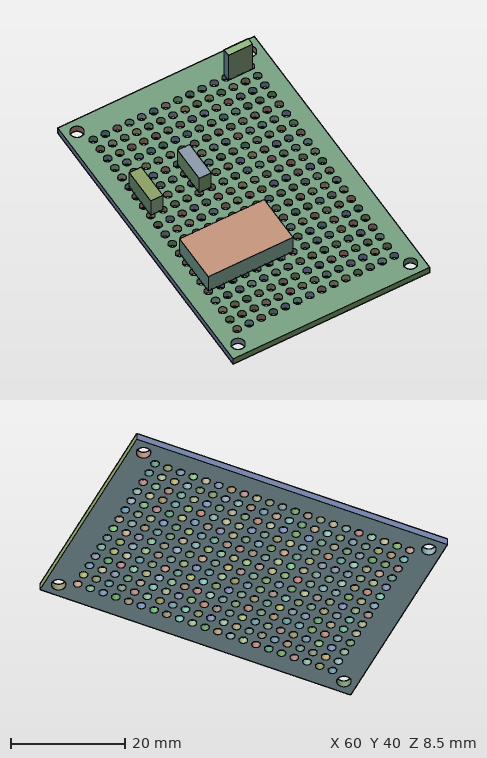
import cadquery as cq

board_length = 60.0
board_width = 40.0
board_thickness = 1.5

pitch = 2.45
columns = 21
rows = 14
grid_hole_diameter = 1.5

mount_hole_diameter = 2.5
mount_hole_inset = pitch

component_height = 4.0
pin_strip_height = 7.0
pin_strip_thickness = 1.5


def column_x(column):
    """X of a grid column, counted from 0 at the -X end."""
    return (column - (columns - 1) / 2) * pitch


def row_y(row):
    """Y of a grid row, counted from 0 at the +Y end."""
    return ((rows - 1) / 2 - row) * pitch


def standing_block(x_min, x_max, y_min, y_max, height):
    """Plain block resting on the top face of the board."""
    return (
        cq.Workplane("XY", origin=((x_min + x_max) / 2, (y_min + y_max) / 2, board_thickness))
        .box(x_max - x_min, y_max - y_min, height, centered=(True, True, False))
    )


def component(first_column, last_column, first_row, last_row):
    """Block whose corners sit on grid hole centres."""
    return standing_block(
        column_x(first_column),
        column_x(last_column),
        row_y(last_row),
        row_y(first_row),
        component_height,
    )


def pin_strip(column, first_row, last_row):
    """Tall thin strip along one column, ending on hole centres."""
    half_thickness = pin_strip_thickness / 2
    return standing_block(
        column_x(column) - half_thickness,
        column_x(column) + half_thickness,
        row_y(last_row),
        row_y(first_row),
        pin_strip_height,
    )


def perforated_board():
    """Flat board with the hole grid and the corner mounting holes."""
    grid_points = [(column_x(c), row_y(r)) for c in range(columns) for r in range(rows)]
    return (
        cq.Workplane("XY")
        .box(board_length, board_width, board_thickness, centered=(True, True, False))
        .faces(">Z")
        .workplane()
        .pushPoints(grid_points)
        .hole(grid_hole_diameter)
        .faces(">Z")
        .workplane()
        .rect(board_length - 2 * mount_hole_inset, board_width - 2 * mount_hole_inset, forConstruction=True)
        .vertices()
        .hole(mount_hole_diameter)
    )


large_component = component(first_column=12, last_column=16, first_row=6, last_row=13)
upper_small_component = component(first_column=5, last_column=8, first_row=8, last_row=9)
lower_small_component = component(first_column=5, last_column=8, first_row=12, last_row=13)
corner_pin_strip = pin_strip(column=0, first_row=0, last_row=2)

result = perforated_board()
for block in (large_component, upper_small_component, lower_small_component, corner_pin_strip):
    result = result.union(block)